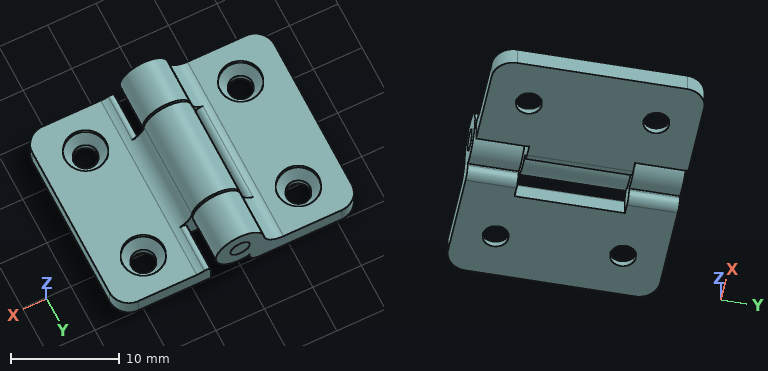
import cadquery as cq
import math

LENGTH = 25.0
WIDTH = 20.0
PLATE_THICKNESS = 2.0
CORNER_RADIUS = 2.0

BARREL_RADIUS = 2.5
AXIS_HEIGHT = 3.5
PIN_RADIUS = 1.0

BLEND_RADIUS = 2.0
LIP_X = 1.0
LIP_RADIUS = 1.0

MIDDLE_KNUCKLE_WIDTH = 10.0
KNUCKLE_GAP = 0.2
NOTCH_X = 3.0
NOTCH_ROUND_RADIUS = 0.5

HOLE_X = 8.0
HOLE_Y = 6.0
HOLE_DIAMETER = 2.4
HEAD_DIAMETER = 4.2
HEAD_RECESS = 0.4
CONE_DEPTH = (HEAD_DIAMETER - HOLE_DIAMETER) / 2

BLEND_Z = PLATE_THICKNESS + BLEND_RADIUS
BLEND_X = math.sqrt((BARREL_RADIUS + BLEND_RADIUS) ** 2 - (BLEND_Z - AXIS_HEIGHT) ** 2)


def knuckle_profile():
    """Left leaf section with its barrel, in the XZ plane."""
    reach = BARREL_RADIUS / (BARREL_RADIUS + BLEND_RADIUS)
    barrel_start = (-BLEND_X * reach, AXIS_HEIGHT + (BLEND_Z - AXIS_HEIGHT) * reach)
    lip_top = AXIS_HEIGHT - math.sqrt(BARREL_RADIUS**2 - LIP_X**2)
    return (
        cq.Workplane("XZ")
        .moveTo(-LENGTH / 2, 0)
        .lineTo(-LIP_X - LIP_RADIUS, 0)
        .radiusArc((-LIP_X, LIP_RADIUS), -LIP_RADIUS)
        .lineTo(-LIP_X, lip_top)
        .threePointArc((BARREL_RADIUS, AXIS_HEIGHT), barrel_start)
        .radiusArc((-BLEND_X, PLATE_THICKNESS), BLEND_RADIUS)
        .lineTo(-LENGTH / 2, PLATE_THICKNESS)
        .close()
    )


def notched_profile():
    """Left leaf section beside the opposite knuckle: no barrel, a rounded edge under the blend."""
    round_x = -NOTCH_X - NOTCH_ROUND_RADIUS
    centre_distance = BLEND_RADIUS + NOTCH_ROUND_RADIUS
    round_z = BLEND_Z - math.sqrt(centre_distance**2 - (BLEND_X + round_x) ** 2)
    reach = NOTCH_ROUND_RADIUS / centre_distance
    round_end = (round_x - (BLEND_X + round_x) * reach, round_z + (BLEND_Z - round_z) * reach)
    return (
        cq.Workplane("XZ")
        .moveTo(-LENGTH / 2, 0)
        .lineTo(-NOTCH_X, 0)
        .lineTo(-NOTCH_X, round_z)
        .radiusArc(round_end, -NOTCH_ROUND_RADIUS)
        .radiusArc((-BLEND_X, PLATE_THICKNESS), BLEND_RADIUS)
        .lineTo(-LENGTH / 2, PLATE_THICKNESS)
        .close()
    )


def band(profile, y_start, y_end):
    """Extrude an XZ profile between two Y positions."""
    return profile.extrude(y_end - y_start).translate((0, y_end, 0))


def screw_hole(y):
    """Cutter for one screw hole: recess, cone and through hole, revolved about a vertical axis."""
    cone_top = PLATE_THICKNESS - HEAD_RECESS
    return (
        cq.Workplane("XZ")
        .lineTo(HOLE_DIAMETER / 2, 0)
        .lineTo(HOLE_DIAMETER / 2, cone_top - CONE_DEPTH)
        .lineTo(HEAD_DIAMETER / 2, cone_top)
        .lineTo(HEAD_DIAMETER / 2, PLATE_THICKNESS)
        .lineTo(0, PLATE_THICKNESS)
        .close()
        .revolve(360, (0, 0, 0), (0, 1, 0))
        .translate((-HOLE_X, y, 0))
    )


def pin_cylinder():
    """Full-width cylinder on the hinge axis."""
    centred = cq.Workplane("XZ").center(0, AXIS_HEIGHT).circle(PIN_RADIUS)
    return centred.extrude(WIDTH / 2, both=True)


def finish_leaf(leaf):
    """Round the outer corners, then cut the pin bore and the screw holes."""
    leaf = leaf.edges("|Z and <X").fillet(CORNER_RADIUS)
    leaf = leaf.cut(pin_cylinder())
    for y in (-HOLE_Y, HOLE_Y):
        leaf = leaf.cut(screw_hole(y))
    return leaf


def outer_leaf():
    """Leaf with a knuckle at each end and a notch between them."""
    inner_end = MIDDLE_KNUCKLE_WIDTH / 2 + KNUCKLE_GAP
    leaf = band(notched_profile(), -inner_end, inner_end)
    leaf = leaf.union(band(knuckle_profile(), -WIDTH / 2, -inner_end))
    leaf = leaf.union(band(knuckle_profile(), inner_end, WIDTH / 2))
    return finish_leaf(leaf)


def middle_leaf():
    """Leaf with one middle knuckle and a notch at each end, turned to the +X side."""
    knuckle_end = MIDDLE_KNUCKLE_WIDTH / 2
    leaf = band(knuckle_profile(), -knuckle_end, knuckle_end)
    leaf = leaf.union(band(notched_profile(), -WIDTH / 2, -knuckle_end))
    leaf = leaf.union(band(notched_profile(), knuckle_end, WIDTH / 2))
    return finish_leaf(leaf).rotate((0, 0, 0), (0, 0, 1), 180)


left_leaf = outer_leaf().solids()
right_leaf = middle_leaf().solids()
hinge_pin = pin_cylinder()

result = cq.Compound.makeCompound([left_leaf.val(), right_leaf.val(), hinge_pin.val()])